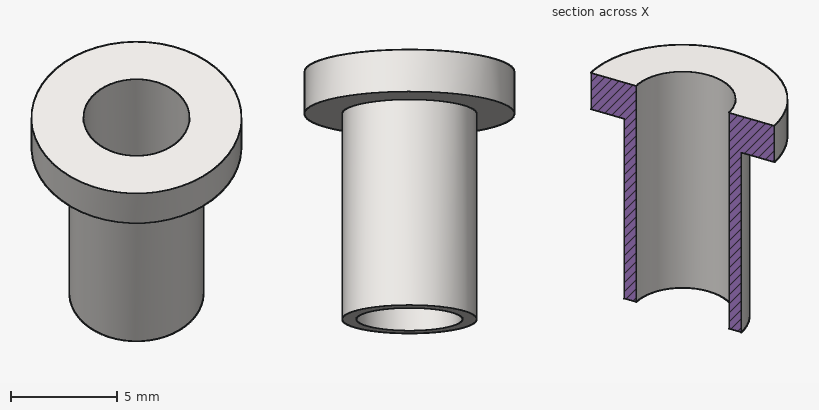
import cadquery as cq

total_height = 11.94
flange_diameter = 9.91
flange_thickness = 2.03
sleeve_diameter = 6.35
bore_diameter = 5.0

sleeve_length = total_height - flange_thickness

sleeve = cq.Workplane("XY").circle(sleeve_diameter / 2).extrude(sleeve_length)
flange = (
    cq.Workplane("XY")
    .workplane(offset=sleeve_length)
    .circle(flange_diameter / 2)
    .extrude(flange_thickness)
)

bore = cq.Workplane("XY").circle(bore_diameter / 2).extrude(total_height)

result = sleeve.union(flange).cut(bore)